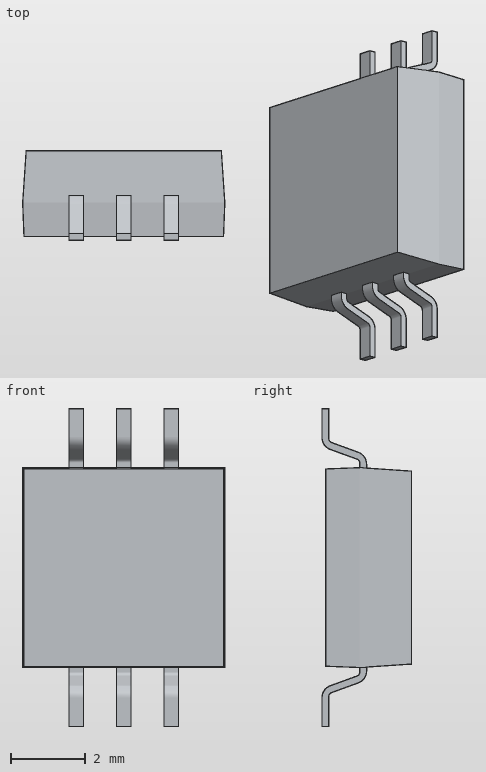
import cadquery as cq
import math

overall_height = 8.5
overall_depth = 2.4
standoff = 0.1

body_width = 5.41
body_height = 5.35
front_half_depth = 0.91
front_inset = 0.035
back_inset = 0.09
rim_depth = 0.05

lead_count = 3
lead_pitch = 1.27
lead_width = 0.4
lead_thickness = 0.19
lead_slope = 20.0
lead_bend_z = 2.87
lead_root_z = 2.3
inner_bend_radius = 0.1
outer_bend_radius = 0.35

foot_y = -overall_depth / 2
back_y = overall_depth / 2
body_front_y = foot_y + standoff
parting_y = body_front_y + front_half_depth
rim_y = back_y - rim_depth


def body_section(y, inset):
    """Rectangular wire of the body at depth y, pulled in by inset on every side."""
    return (
        cq.Workplane("XZ", origin=(0, y, 0))
        .rect(body_width - 2 * inset, body_height - 2 * inset)
        .wires()
        .val()
    )


def tapered_block(start_y, start_inset, end_y, end_inset):
    sections = [body_section(start_y, start_inset), body_section(end_y, end_inset)]
    return cq.Workplane(obj=cq.Solid.makeLoft(sections, True))


def make_body():
    front_half = tapered_block(body_front_y, front_inset, parting_y, 0)
    back_half = tapered_block(parting_y, 0, rim_y, back_inset)
    rim = tapered_block(rim_y, back_inset, back_y, back_inset)
    return front_half.union(back_half).union(rim)


def make_lead(x):
    """Upper lead centred on x: root, sloped run and foot, with rounded bends."""
    turn = math.radians(90 - lead_slope)
    corner_shift = lead_thickness * math.tan(turn / 2)
    foot_bend_z = lead_bend_z + (parting_y - foot_y) * math.tan(math.radians(lead_slope))
    tip_z = overall_height / 2
    root_back_y = parting_y + lead_thickness
    foot_back_y = foot_y + lead_thickness

    root_front_bend = (parting_y, lead_bend_z)
    foot_front_bend = (foot_y, foot_bend_z)
    foot_back_bend = (foot_back_y, foot_bend_z + corner_shift)
    root_back_bend = (root_back_y, lead_bend_z + corner_shift)
    strip = (
        cq.Workplane("YZ", origin=(x - lead_width / 2, 0, 0))
        .polyline([
            (parting_y, lead_root_z),
            root_front_bend,
            foot_front_bend,
            (foot_y, tip_z),
            (foot_back_y, tip_z),
            foot_back_bend,
            root_back_bend,
            (root_back_y, lead_root_z),
        ])
        .close()
        .extrude(lead_width)
    )

    bends = [
        (root_front_bend, inner_bend_radius),
        (foot_back_bend, inner_bend_radius),
        (foot_front_bend, outer_bend_radius),
        (root_back_bend, outer_bend_radius),
    ]
    for (y, z), radius in bends:
        bend_edge = cq.selectors.NearestToPointSelector((x, y, z))
        strip = strip.edges("|X").edges(bend_edge).fillet(radius)
    return strip


result = make_body()
for index in range(lead_count):
    lead_x = (index - (lead_count - 1) / 2) * lead_pitch
    upper_lead = make_lead(lead_x)
    lower_lead = upper_lead.mirror("XY")
    result = result.union(upper_lead).union(lower_lead)